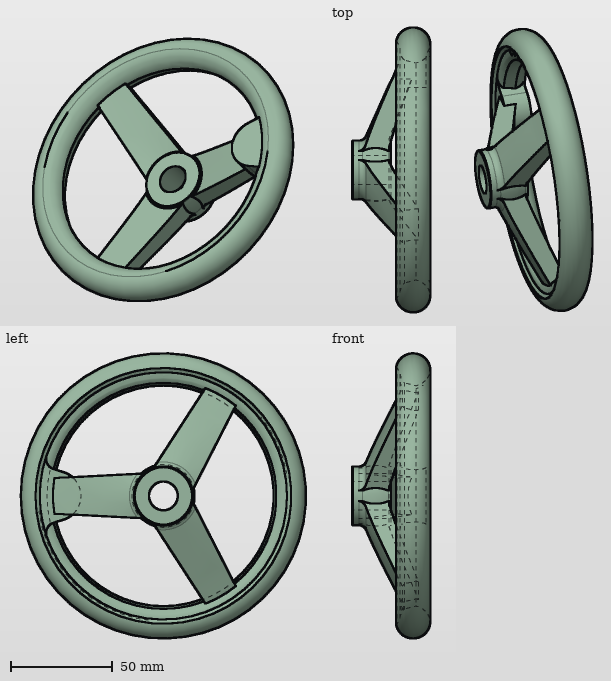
import cadquery as cq
import math

rim_outer_radius = 70.0
rim_width = 17.1
rim_back = 38.5
section_radius = rim_width / 2
section_centre_radius = rim_outer_radius - section_radius
rim_mid = rim_back - section_radius
recess_outer_radius = 62.7
recess_step_x = 22.1
recess_floor_x = 23.5
recess_floor_inner_radius = 60.6
recess_round = 7.1
recess_edge_radius = 55.4
inner_wall_end_x = 31.4
inner_wall_end_radius = 54.0
back_round_mid_x = 35.8
back_round_mid_radius = 56.4

bore_diameter = 14.0
collar_radius = 29.0 / 2
collar_length = 3.5
collar_chamfer = 0.4
flare_radius = 3.6
barrel_front = 5.2
barrel_back = 17.8
barrel_radius = 15.4
hub_length = 19.0

spoke_count = 3
spoke_front_slope = 0.445
spoke_back_slope = 0.37
spoke_back_at_barrel = 18.2
spoke_root_radius = 12.0
spoke_root_width = 21.8
spoke_tip_radius = recess_floor_inner_radius
spoke_tip_width = 16.8

boss_centre = 52.8
boss_radius = 12.3
boss_blend_radius = 4.9
boss_wing_y = 57.4
boss_side_angle = 17.0
boss_thickness = 12.9


def ring_about_x(profile):
    """Revolve an XY-plane profile (axial, radial) about the X axis."""
    return profile.revolve(360, (0, 0, 0), (1, 0, 0))


def make_rim():
    section = ring_about_x(
        cq.Workplane("XY").moveTo(rim_mid, section_centre_radius).circle(section_radius)
    )
    sweep = math.asin((recess_floor_inner_radius - recess_edge_radius) / recess_round)
    edge_x = recess_floor_x + recess_round * (1 - math.cos(sweep))
    round_mid_x = recess_floor_x + recess_round * (1 - math.cos(sweep / 2))
    round_mid_radius = recess_floor_inner_radius - recess_round * math.sin(sweep / 2)
    clear_radius = section_centre_radius - 2 * section_radius
    recess = ring_about_x(
        cq.Workplane("XY")
        .moveTo(0, recess_outer_radius)
        .lineTo(recess_step_x, recess_outer_radius)
        .lineTo(recess_floor_x, recess_floor_inner_radius)
        .threePointArc((round_mid_x, round_mid_radius), (edge_x, recess_edge_radius))
        .lineTo(inner_wall_end_x, inner_wall_end_radius)
        .threePointArc(
            (back_round_mid_x, back_round_mid_radius), (rim_back, section_centre_radius)
        )
        .lineTo(rim_back, clear_radius)
        .lineTo(0, clear_radius)
        .close()
    )
    return section.cut(recess)


flare_angle = math.atan(1 / spoke_front_slope)
flare_end_x = collar_length + flare_radius * math.sin(flare_angle)
flare_end_radius = collar_radius + flare_radius * (1 - math.cos(flare_angle))
flare_mid_x = collar_length + flare_radius * math.sin(flare_angle / 2)
flare_mid_radius = collar_radius + flare_radius * (1 - math.cos(flare_angle / 2))


def make_web():
    """Full dished disc, from which the spokes are cut."""
    tip_front = flare_end_x + spoke_front_slope * (spoke_tip_radius - flare_end_radius)
    tip_back = spoke_back_at_barrel + spoke_back_slope * (spoke_tip_radius - barrel_radius)
    return ring_about_x(
        cq.Workplane("XY")
        .moveTo(collar_length, 0)
        .lineTo(collar_length, collar_radius)
        .threePointArc((flare_mid_x, flare_mid_radius), (flare_end_x, flare_end_radius))
        .lineTo(tip_front, spoke_tip_radius)
        .lineTo(tip_back, spoke_tip_radius)
        .lineTo(spoke_back_at_barrel, barrel_radius)
        .lineTo(spoke_back_at_barrel, 0)
        .close()
    )


def make_spokes(web):
    taper = (spoke_root_width - spoke_tip_width) / (spoke_tip_radius - spoke_root_radius)
    axis_width = spoke_root_width + taper * spoke_root_radius
    blank = (
        cq.Workplane("YZ")
        .moveTo(0, -axis_width / 2)
        .lineTo(spoke_tip_radius, -spoke_tip_width / 2)
        .lineTo(spoke_tip_radius, spoke_tip_width / 2)
        .lineTo(0, axis_width / 2)
        .close()
        .extrude(rim_back)
    )
    spoke = web.intersect(blank)
    spokes = spoke
    for index in range(1, spoke_count):
        spokes = spokes.union(spoke.rotate((0, 0, 0), (1, 0, 0), index * 360 / spoke_count))
    return spokes


def make_hub():
    """Collar and rear lip of equal radius, with a crowned barrel between them."""
    return ring_about_x(
        cq.Workplane("XY")
        .lineTo(0, collar_radius - collar_chamfer)
        .lineTo(collar_chamfer, collar_radius)
        .lineTo(barrel_front, collar_radius)
        .threePointArc(((barrel_front + barrel_back) / 2, barrel_radius), (barrel_back, collar_radius))
        .lineTo(hub_length, collar_radius)
        .lineTo(hub_length, 0)
        .close()
    )


def make_boss():
    """Round boss whose sides diverge, then sweep outward into the rim."""
    flare = math.radians(boss_side_angle)
    side_y = boss_centre - boss_radius * math.sin(flare)
    side_z = boss_radius * math.cos(flare)
    blend_y = boss_wing_y - boss_blend_radius * (1 - math.sin(flare))
    blend_z = side_z + (blend_y - side_y) * math.tan(flare)
    wing_z = blend_z + boss_blend_radius * math.cos(flare)
    blend_mid = (flare + math.pi / 2) / 2
    blend_mid_y = boss_wing_y - boss_blend_radius * (1 - math.sin(blend_mid))
    blend_mid_z = wing_z - boss_blend_radius * math.cos(blend_mid)
    rim_z = math.sqrt(recess_floor_inner_radius**2 - boss_wing_y**2)
    return (
        cq.Workplane("YZ", origin=(recess_floor_x, 0, 0))
        .moveTo(side_y, -side_z)
        .threePointArc((boss_centre - boss_radius, 0), (side_y, side_z))
        .lineTo(blend_y, blend_z)
        .threePointArc((blend_mid_y, blend_mid_z), (boss_wing_y, wing_z))
        .lineTo(boss_wing_y, rim_z)
        .threePointArc((recess_floor_inner_radius, 0), (boss_wing_y, -rim_z))
        .lineTo(boss_wing_y, -wing_z)
        .threePointArc((blend_mid_y, -blend_mid_z), (blend_y, -blend_z))
        .close()
        .extrude(boss_thickness)
    )


web = make_web()
bore = cq.Workplane("YZ").circle(bore_diameter / 2).extrude(hub_length)
result = (
    make_rim()
    .union(make_boss())
    .union(make_spokes(web))
    .union(make_hub())
    .cut(bore)
)